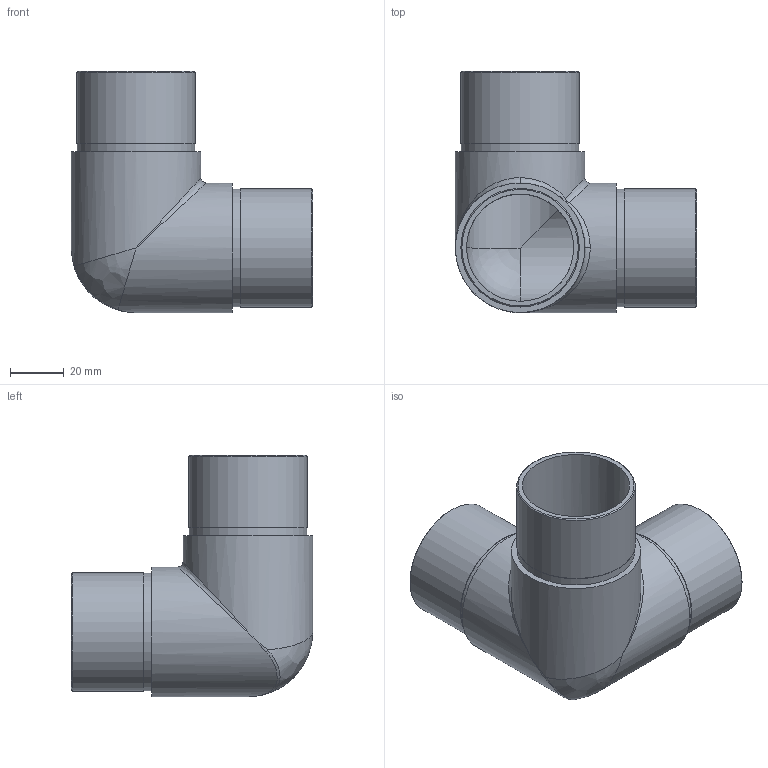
import cadquery as cq
import math

reach = 90.0
body_diameter = 48.3
body_radius = body_diameter / 2
tube_diameter = 44.2
tube_length = 27.0
groove_diameter = 43.8
groove_length = 3.0
bore_diameter = 40.0
rim_chamfer = 0.4
seam_fillet = 2.0

arm_end = reach - body_radius
tube_start = arm_end - tube_length
body_end = tube_start - groove_length

blend_slope = 1 - math.sqrt(0.5)

ORIGIN = cq.Vector(0, 0, 0)
X_AXIS = cq.Vector(1, 0, 0)
Y_AXIS = cq.Vector(0, 1, 0)
Z_AXIS = cq.Vector(0, 0, 1)
ARM_AXES = [X_AXIS, Y_AXIS, Z_AXIS]


def rod(axis, diameter, start, end):
    """Cylinder along an axis through the origin."""
    return cq.Workplane(cq.Solid.makeCylinder(diameter / 2, end - start, axis * start, axis))


def sector(points):
    """Prism along Y whose section is a polygon of (x, z) points starting at the Y axis."""
    return cq.Workplane("XZ").polyline([(0, 0)] + points).close().extrude(body_diameter, both=True)


def blend_ellipsoid():
    """Ellipsoid tangent to the X and Z body cylinders along the two blend planes."""
    along_diagonal = math.sqrt(1 + blend_slope)
    across_diagonal = math.sqrt(1 - blend_slope)
    stretch = cq.Matrix([[across_diagonal, 0, 0, 0], [0, 1, 0, 0], [0, 0, along_diagonal, 0]])
    ball = cq.Solid.makeSphere(body_radius, ORIGIN, Z_AXIS, -90, 90, 360)
    return cq.Workplane(ball.transformGeometry(stretch).rotate(ORIGIN, Y_AXIS, 45))


def outer_corner():
    """Rounded knuckle in the quadrant of negative X and Z, trimmed by the Y arm's cylinder."""
    far = body_diameter
    near = blend_slope * far
    x_rod, y_rod, z_rod = [rod(axis, body_diameter, -far, far) for axis in ARM_AXES]
    z_part = z_rod.intersect(sector([(-far, 0), (-far, -near)]))
    blend = blend_ellipsoid().intersect(sector([(-far, -near), (-far, -far), (-near, -far)]))
    x_part = x_rod.intersect(sector([(-near, -far), (0, -far)]))
    corner = z_part.union(blend).union(x_part).intersect(y_rod)

    half_diagonal = body_radius * math.sqrt(0.5)
    seam_depth = body_radius * math.sqrt(1 - 1 / (1 + blend_slope))
    seam_middle = (-half_diagonal, -seam_depth, -half_diagonal)
    seam = corner.edges(cq.selectors.NearestToPointSelector(seam_middle))
    return seam.fillet(seam_fillet)


def filleted_arm_pair(first_axis, second_axis):
    """Two body cylinders at right angles with the inside of their mitre seam filleted."""
    pair = rod(first_axis, body_diameter, 0, body_end)
    pair = pair.union(rod(second_axis, body_diameter, 0, body_end))
    seam = [
        edge
        for edge in pair.edges("%ELLIPSE").vals()
        if edge.Center().dot(first_axis) > 0 and edge.Center().dot(second_axis) > 0
    ]
    return pair.newObject(seam).fillet(seam_fillet)


def spigot(axis):
    """Relief groove and chamfered tube at the end of one arm."""
    tube = rod(axis, tube_diameter, tube_start, arm_end)
    tube = tube.edges(cq.selectors.DirectionMinMaxSelector(axis, True)).chamfer(rim_chamfer)
    return rod(axis, groove_diameter, 0, tube_start).union(tube)


def bore():
    """Three meeting bores with a spherical end at the origin."""
    hollow = cq.Workplane("XY").sphere(bore_diameter / 2)
    for axis in ARM_AXES:
        hollow = hollow.union(rod(axis, bore_diameter, 0, arm_end))
    return hollow


body = outer_corner()
for first_axis, second_axis in [(X_AXIS, Z_AXIS), (Y_AXIS, Z_AXIS), (X_AXIS, Y_AXIS)]:
    body = body.union(filleted_arm_pair(first_axis, second_axis))
for axis in ARM_AXES:
    body = body.union(spigot(axis))

result = body.cut(bore())